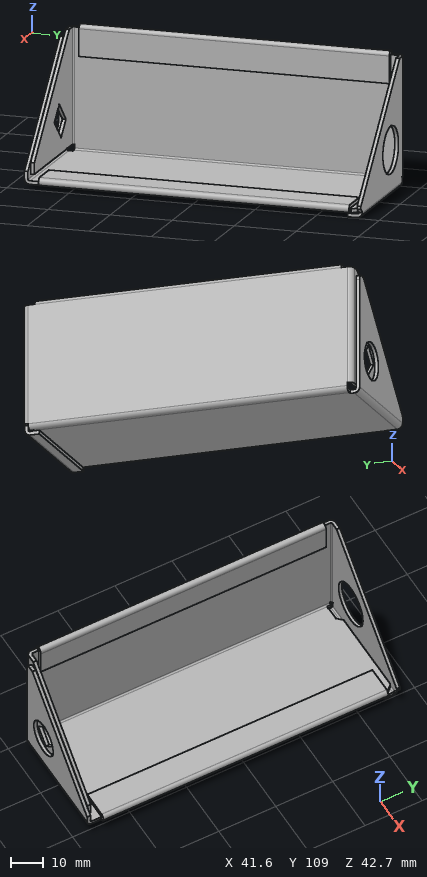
import cadquery as cq

sheet = 1.2
bend_outer = 1.7
bend_inner = bend_outer - sheet
hem_outer = 1.3
hem_inner = hem_outer - sheet
layer_gap = 0.2
flange_gap = 0.1

length = 109.0
height = 42.7
overall_width = 41.6
floor_width = 40.2
diagonal_sum = 45.8

floor_bottom = sheet + layer_gap
floor_bend_z = floor_bottom + bend_outer
flange_front = sheet + flange_gap
flange_bend_y = flange_front + bend_outer
back_bend_y = length - bend_outer
back_inner = length - sheet
wall_top = height - hem_outer

plate_left = 2.8
plate_top = 39.6
plate_corner_radius = 1.6
flange_bottom = 4.1
flange_right = 38.0
tab_depth = 4.8

hem_start = 5.0
hem_end = 105.1
hem_leaf = 8.8

floor_back = back_inner - flange_gap
notch_y = 106.0
notch_x = 7.2
corner_cut = 2.3

hole_x = 13.1
hole_z = 14.6
front_hole_diameter = 12.0
back_hole_diameter = 15.0
slot_length = 8.9
slot_width = 6.5
slot_angle = 45


def block(x0, x1, y0, y1, z0, z1):
    """Box between two values on each axis."""
    return cq.Workplane("XY").box(x1 - x0, y1 - y0, z1 - z0, centered=False).translate((x0, y0, z0))


def tube(start, direction, span, outer, inner):
    """Round tube running from start along direction."""
    point = cq.Vector(*start)
    axis = cq.Vector(*direction)
    ring = cq.Solid.makeCylinder(outer, span, point, axis).cut(cq.Solid.makeCylinder(inner, span, point, axis))
    return cq.Workplane("XY").add(ring)


def upright_sheet(points, y0):
    """Sheet standing in XZ whose outer face is at y0 and which extends one thickness toward +Y."""
    return cq.Workplane("XZ", origin=(0, y0, 0)).polyline(points).close().extrude(-sheet)


def round_hole(y0, diameter):
    """Cutter for a round hole through one upright sheet."""
    return cq.Workplane("XZ", origin=(hole_x, y0, hole_z)).circle(diameter / 2).extrude(-sheet)


def make_left_wall():
    wall = block(0, sheet, flange_bend_y, back_bend_y, floor_bend_z, wall_top)
    bend_tube = tube((bend_outer, flange_bend_y, floor_bend_z), (0, 1, 0),
                     back_bend_y - flange_bend_y, bend_outer, bend_inner)
    quadrant = block(0, bend_outer, flange_bend_y, back_bend_y, floor_bottom, floor_bend_z)
    return wall.union(bend_tube.intersect(quadrant))


def make_floor():
    outline = [
        (bend_outer, flange_bend_y),
        (plate_left, flange_bend_y),
        (plate_left, bend_outer),
        (floor_width, bend_outer),
        (floor_width, floor_back - corner_cut),
        (floor_width - corner_cut, floor_back),
        (notch_x + floor_back - notch_y, floor_back),
        (notch_x, notch_y),
        (bend_outer, notch_y),
    ]
    return cq.Workplane("XY", origin=(0, 0, floor_bottom)).polyline(outline).close().extrude(sheet)


def make_front_plate():
    plate = upright_sheet([
        (plate_left, floor_bend_z),
        (floor_width, floor_bend_z),
        (floor_width, diagonal_sum - floor_width),
        (diagonal_sum - plate_top, plate_top),
        (plate_left, plate_top),
    ], 0)
    plate = plate.edges(cq.selectors.NearestToPointSelector((plate_left, sheet / 2, plate_top)))
    plate = plate.fillet(plate_corner_radius)
    bend_tube = tube((plate_left, bend_outer, floor_bend_z), (1, 0, 0),
                     floor_width - plate_left, bend_outer, bend_inner)
    quadrant = block(plate_left, floor_width, 0, bend_outer, floor_bottom, floor_bend_z)
    return plate.union(bend_tube.intersect(quadrant)).cut(round_hole(0, front_hole_diameter))


def make_inner_flange():
    flange = upright_sheet([
        (bend_outer, flange_bottom),
        (flange_right, flange_bottom),
        (flange_right, diagonal_sum - flange_right),
        (diagonal_sum - wall_top, wall_top),
        (bend_outer, wall_top),
    ], flange_front)
    bend_tube = tube((bend_outer, flange_bend_y, flange_bottom), (0, 0, 1),
                     wall_top - flange_bottom, bend_outer, bend_inner)
    quadrant = block(0, bend_outer, flange_front, flange_bend_y, flange_bottom, wall_top)
    slot = (cq.Workplane("XZ", origin=(hole_x, flange_front, hole_z))
            .transformed(rotate=(0, 0, slot_angle))
            .rect(slot_length, slot_width).extrude(-sheet))
    return flange.union(bend_tube.intersect(quadrant)).cut(slot)


def make_back_wall():
    wall = upright_sheet([
        (bend_outer, bend_outer),
        (floor_width, bend_outer),
        (overall_width, floor_bend_z),
        (overall_width, diagonal_sum - overall_width),
        (diagonal_sum - wall_top, wall_top),
        (bend_outer, wall_top),
    ], back_inner)
    side_tube = tube((bend_outer, back_bend_y, floor_bend_z), (0, 0, 1),
                     wall_top - floor_bend_z, bend_outer, bend_inner)
    side_quadrant = block(0, bend_outer, back_bend_y, length, floor_bend_z, wall_top)
    tab_tube = tube((bend_outer, back_bend_y, bend_outer), (1, 0, 0),
                    floor_width - bend_outer, bend_outer, bend_inner)
    tab_quadrant = block(bend_outer, floor_width, back_bend_y, length, 0, bend_outer)
    tab = block(bend_outer, floor_width, length - tab_depth, back_bend_y, 0, sheet)
    wall = wall.union(side_tube.intersect(side_quadrant)).union(tab_tube.intersect(tab_quadrant))
    return wall.union(tab).cut(round_hole(back_inner, back_hole_diameter))


def make_hems():
    """Edges folded back flat: over the floor on the right, down inside the wall at the top."""
    span = hem_end - hem_start
    leaf_low = 2 * hem_outer - sheet
    leaf_high = 2 * hem_outer
    floor_fold = tube((floor_width, hem_start, floor_bottom + hem_outer), (0, 1, 0), span, hem_outer, hem_inner)
    floor_fold = floor_fold.intersect(
        block(floor_width, floor_width + hem_outer, hem_start, hem_end, floor_bottom, floor_bottom + leaf_high))
    floor_leaf = block(floor_width - hem_leaf, floor_width, hem_start, hem_end,
                       floor_bottom + leaf_low, floor_bottom + leaf_high)
    wall_fold = tube((hem_outer, hem_start, wall_top), (0, 1, 0), span, hem_outer, hem_inner)
    wall_fold = wall_fold.intersect(block(0, leaf_high, hem_start, hem_end, wall_top, height))
    wall_leaf = block(leaf_low, leaf_high, hem_start, hem_end, wall_top - hem_leaf, wall_top)
    return floor_fold.union(floor_leaf).union(wall_fold.union(wall_leaf))


result = make_left_wall()
for piece in (make_floor(), make_front_plate(), make_inner_flange(), make_back_wall(), make_hems()):
    result = result.union(piece)